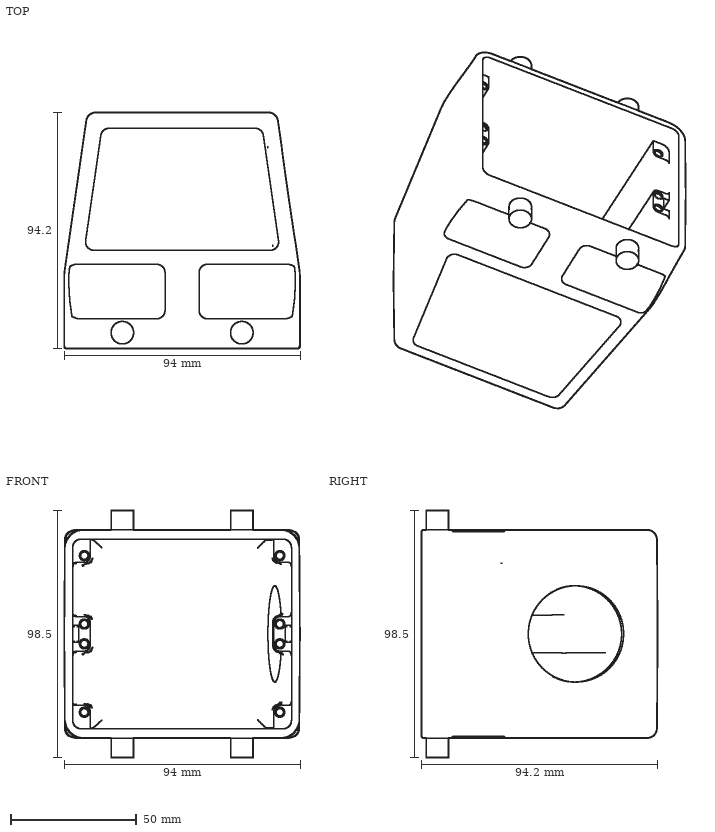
import cadquery as cq
import math

height = 83.0
half_width = 47.0
length = 94.15
rim_y = -length / 2
back_y = length / 2
parting_draft = 0.4
side_taper = 8.2
knee_y = -17.1
knee_radius = 20.0
outer_radius = 4.0

flare_start_y = -21.5
rim_corner_radius = 7.6
flare_steps = 4
rim_edge_radius = 0.9

inner_half_width = 43.6
inner_half_height_rim = 37.8
inner_half_height_floor = 37.3
floor_y = back_y - 4.0
floor_half_width = 35.6
pad_floor_x = 32.7
step_y = -14.0
step_radius = 1.0
inner_knee_radius = 10.0
floor_radius = 3.8
rib_foot_radius = 4.4
rib_root_radius = 1.4
inner_corner_radius = 3.4

rib_front_y = -38.2
rib_face_x = 36.6
rib_draft = 0.85
rib_edge_radius = 2.4
corner_rib_z = 28.5
centre_rib_half_height = 6.9
screw_x = 38.95
corner_screw_z = 31.2
centre_screw_z = 3.95
screw_diameter = 3.0
screw_depth = 10.0
screw_chamfer = 0.45
notch_x = 41.2
notch_half_height = 3.4
notch_depth = 10.0
notch_floor_radius = 0.7

entry_diameter = 38.4
entry_y = 13.7

pin_diameter = 9.0
pin_x = 23.8
pin_y = -40.75
pin_span = 98.5

recess_depth = 0.8
recess_floor_radius = 0.8
recess_wall_angle = 50.0
recess_corner_radius = 3.3
panel_back_y = 40.7
panel_front_y = -7.9
panel_side_margin = 6.7
grip_inner_x = 6.8
grip_back_y = -13.5
grip_front_y = -35.2

half_height = height / 2
taper_slope = math.tan(math.radians(side_taper))
draft_slope = math.tan(math.radians(parting_draft))
overlap = 5.0
reach = 200.0
near = 0.5


def flank_half_width(y):
    """Half width of the outside at the parting plane."""
    return half_width - max(0.0, y - knee_y) * taper_slope


def edges_near_y(y, z_low, z_high):
    """Selector for edges centred close to one Y, within a Z range."""
    return cq.selectors.BoxSelector((-reach, y - near, z_low), (reach, y + near, z_high))


def outer_rear():
    """Tapered block with every outer edge behind the flare rounded."""
    front_y = rim_y - overlap
    back_half = flank_half_width(back_y)
    outline = [
        (-half_width, front_y),
        (half_width, front_y),
        (half_width, knee_y),
        (back_half, back_y),
        (-back_half, back_y),
        (-half_width, knee_y),
    ]
    plan = cq.Workplane("XY").polyline(outline).close()
    upper = plan.extrude(half_height, taper=parting_draft)
    upper = upper.edges(edges_near_y(knee_y, near, half_height - near)).fillet(knee_radius)
    upper = upper.edges(edges_near_y(back_y, near, half_height - near)).fillet(outer_radius)
    upper = upper.faces(">Z").edges("not(<Y)").fillet(outer_radius)
    block = upper.union(upper.mirror("XY"))
    keep = cq.Workplane("XY").box(reach, reach, reach).translate((0, flare_start_y + reach / 2, 0))
    return block.intersect(keep)


def flare_section(y, radius):
    """Rounded cross-section whose sides lean in from the parting plane."""
    edge_half = half_width - half_height * draft_slope
    corners = [
        (half_width, 0),
        (edge_half, half_height),
        (-edge_half, half_height),
        (-half_width, 0),
        (-edge_half, -half_height),
        (edge_half, -half_height),
    ]
    points = [cq.Vector(x, y, z) for x, z in corners]
    wire = cq.Wire.makePolygon(points, close=True)
    rounded = [corner for corner in wire.Vertices() if abs(corner.Z) > near]
    return wire.fillet2D(radius, rounded)


def outer_front():
    """Front stretch whose corner radius grows smoothly up to the rim."""
    sections = []
    for i in range(flare_steps + 1):
        t = i / flare_steps
        y = flare_start_y + t * (rim_y - flare_start_y)
        blend = t * t * (3 - 2 * t)
        radius = outer_radius + blend * (rim_corner_radius - outer_radius)
        sections.append(flare_section(y, radius))
    return cq.Workplane(cq.Solid.makeLoft(sections))


def rib(z_low, z_high, side):
    """One drafted screw rib; side is -1 or +1 for the flank it stands on."""
    section = cq.Sketch().rect(half_width - rib_face_x, z_high - z_low)
    section = section.vertices().fillet(rib_edge_radius)
    centre = (side * (rib_face_x + half_width) / 2, rib_front_y, (z_low + z_high) / 2)
    plane = cq.Workplane("XZ", origin=centre)
    rib_length = floor_y - rib_front_y
    post = plane.placeSketch(section).extrude(-rib_length, taper=-rib_draft)
    base = cq.Workplane("XY").box(reach, overlap, reach)
    base = base.translate((0, floor_y + overlap / 2, 0))
    foot = edges_near_y(floor_y, -half_width, half_width)
    return post.union(base).edges(foot).fillet(rib_foot_radius)


def ribs():
    """Paired-screw rib and two corner ribs on each flank, each with a slab under its foot."""
    solids = []
    for side in (-1, 1):
        solids.append(rib(-centre_rib_half_height, centre_rib_half_height, side))
        solids.append(rib(corner_rib_z, half_height, side))
        solids.append(rib(-half_height, -corner_rib_z, side))
    return solids


def flank_pad():
    """Extra wall thickness on the +X flank, around the cable entry."""
    pad_step_x = pad_floor_x + (floor_y - step_y) * taper_slope
    outline = [
        (half_width, step_y),
        (pad_step_x, step_y),
        (pad_floor_x, floor_y),
        (half_width, floor_y),
    ]
    pad = cq.Workplane("XY").polyline(outline).close().extrude(half_height, both=True)
    nose = cq.selectors.NearestToPointSelector((pad_step_x, step_y, 0))
    return pad.edges("|Z").edges(nose).fillet(step_radius)


def cavity_shell():
    """Cavity without ribs; the +X flank is thickened behind a step."""
    mouth_y = rim_y - overlap
    inner_knee_y = floor_y - (inner_half_width - floor_half_width) / taper_slope
    outline = [
        (-inner_half_width, mouth_y),
        (inner_half_width, mouth_y),
        (inner_half_width, inner_knee_y),
        (floor_half_width, floor_y),
        (-floor_half_width, floor_y),
        (-inner_half_width, inner_knee_y),
    ]
    knee_zone = edges_near_y(inner_knee_y, -half_height, half_height)
    plan = cq.Workplane("XY").polyline(outline).close().extrude(half_height, both=True)
    plan = plan.edges("|Z").edges(knee_zone).fillet(inner_knee_radius)
    side_outline = [
        (mouth_y, -inner_half_height_rim),
        (floor_y, -inner_half_height_floor),
        (floor_y, inner_half_height_floor),
        (mouth_y, inner_half_height_rim),
    ]
    profile = cq.Workplane("YZ").polyline(side_outline).close().extrude(half_width, both=True)
    shell = plan.intersect(profile).cut(flank_pad())
    shell = shell.faces(">Y").edges().fillet(floor_radius)
    mouth = (
        cq.Workplane("XZ", origin=(0, mouth_y, 0))
        .rect(2 * inner_half_width, 2 * inner_half_height_rim)
        .extrude(-2 * length)
        .edges("|Y")
        .fillet(inner_corner_radius)
    )
    return shell.intersect(mouth)


def round_rib_roots(hollow):
    """Fillet the ribs, and the step between them, into the flank walls."""
    near_x = screw_x + near
    far_x = inner_half_width + near
    start_y = rib_front_y + near
    margin_z = 2 * near
    step_edges = edges_near_y(step_y, -half_height, half_height)
    roots = hollow.edges(step_edges).edges("|Z").edges(">X")
    for side in (-1, 1):
        for z in (-corner_rib_z, -centre_rib_half_height, centre_rib_half_height, corner_rib_z):
            zone = cq.selectors.BoxSelector(
                (side * near_x, start_y, z - margin_z),
                (side * far_x, 0, z + margin_z),
            )
            roots = roots.add(hollow.edges(zone))
    return roots.fillet(rib_root_radius)


def cavity():
    """Hollow of the hood, leaving the flank pad and the ribs standing."""
    hollow = cavity_shell()
    for solid in ribs():
        hollow = hollow.cut(solid)
    return round_rib_roots(hollow)


def screw_holes():
    """Chamfered blind holes in the front ends of the ribs."""
    radius = screw_diameter / 2
    tool_profile = [
        (0, 0),
        (radius + screw_chamfer, 0),
        (radius, screw_chamfer),
        (radius, screw_depth),
        (0, screw_depth),
    ]
    tool = cq.Workplane("XY").polyline(tool_profile).close().revolve(360, (0, 0), (0, 1))
    holes = []
    for side in (-1, 1):
        for z in (-corner_screw_z, -centre_screw_z, centre_screw_z, corner_screw_z):
            holes.append(tool.translate((side * screw_x, rib_front_y, z)))
    return holes


def notches():
    """Pockets behind the paired screw holes, open to the flank walls."""
    width = inner_half_width - notch_x
    pocket = cq.Workplane("XY").box(width, notch_depth, 2 * notch_half_height)
    pocket = pocket.faces(">Y").edges().fillet(notch_floor_radius)
    centre_x = notch_x + width / 2
    centre_y = rib_front_y + notch_depth / 2
    return [pocket.translate((side * centre_x, centre_y, 0)) for side in (-1, 1)]


def cable_entry():
    """Bore through the +X flank, axis square to the tapered outside face."""
    angle = math.radians(side_taper)
    direction = cq.Vector(math.cos(angle), math.sin(angle), 0)
    inner_x = pad_floor_x + (floor_y - entry_y) * taper_slope
    start = cq.Vector(inner_x, entry_y, 0) - direction * overlap
    return cq.Solid.makeCylinder(entry_diameter / 2, 4 * overlap, start, direction)


def sloped_recess(points):
    """Shallow recess in the top face with flat floor and sloping walls."""
    outline = cq.Workplane("XY", origin=(0, 0, half_height)).polyline(points).close()
    prism = outline.extrude(-recess_depth).edges("|Z").fillet(recess_corner_radius)
    rounded = prism.faces(">Z").wires().toPending()
    tool = rounded.workplane().extrude(-recess_depth, combine=False, taper=recess_wall_angle)
    return tool.faces("<Z").edges().fillet(recess_floor_radius)


def panel_recess():
    """Large recess whose sides follow the tapered flanks."""
    back_half = flank_half_width(panel_back_y) - panel_side_margin
    front_half = flank_half_width(panel_front_y) - panel_side_margin
    return sloped_recess([
        (-front_half, panel_front_y),
        (front_half, panel_front_y),
        (back_half, panel_back_y),
        (-back_half, panel_back_y),
    ])


def grip_recess(side):
    """Recess that runs out over one flank."""
    outer_x = half_width + 2 * overlap
    return sloped_recess([
        (side * grip_inner_x, grip_front_y),
        (side * outer_x, grip_front_y),
        (side * outer_x, grip_back_y),
        (side * grip_inner_x, grip_back_y),
    ])


def recesses():
    """All recesses, the same on the top and bottom faces."""
    upper = [panel_recess(), grip_recess(-1), grip_recess(1)]
    return upper + [recess.mirror("XY") for recess in upper]


def pins():
    """Locking pins standing out of the top and bottom walls."""
    root_z = (inner_half_height_rim + half_height) / 2
    spots = [(-pin_x, pin_y), (pin_x, pin_y)]
    plane = cq.Workplane("XY", origin=(0, 0, root_z)).pushPoints(spots)
    upper = plane.circle(pin_diameter / 2).extrude(pin_span / 2 - root_z)
    return upper.union(upper.mirror("XY"))


def hood():
    """Complete hood with pins."""
    body = outer_rear().union(outer_front())
    body = body.faces("<Y").edges().fillet(rim_edge_radius)
    body = body.cut(cavity())
    for tool in screw_holes() + notches() + recesses():
        body = body.cut(tool)
    return body.cut(cable_entry()).union(pins())


result = hood()